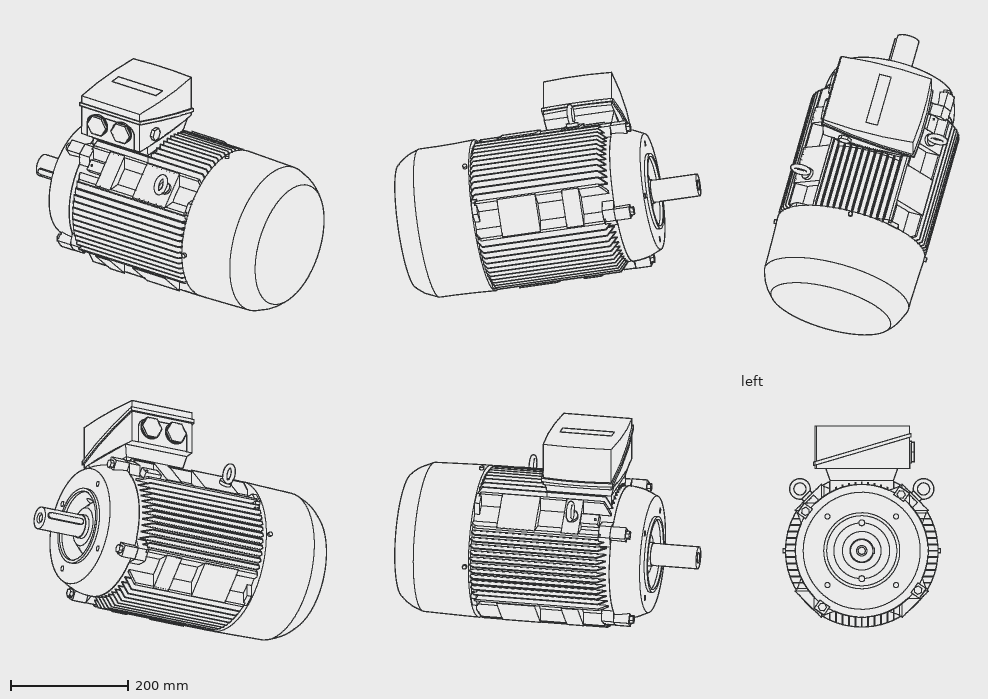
import cadquery as cq
import math


SPIGOT_X = 75.0
FLANGE_X = 80.5
FRAME_X = 130.5
COVER_X = 373.5
REAR_X = 508.0

SHAFT_R = 19.05
COLLAR_R = 20.5
COLLAR_X = 80.0
CENTRE_HOLE_R = 6.0
CENTRE_HOLE_DEPTH = 30.5
CENTRE_SINK_R = 8.9
KEY_WIDTH = 10.0
KEY_START = 5.0
KEY_END = 74.5
KEY_TOP = 22.0

FLANGE_R = 100.0
SHIELD_R = 114.0
SHIELD_MID = (104.0, 110.0)
SPIGOT_R = 65.0
RECESS_R = 60.0
GROOVE_X = 104.5
GROOVE_R = 48.0
HUB_R = 33.0
HUB_X = 86.5
DRAIN_R = 5.0
DRAIN_DEPTH = 10.0
FLANGE_HOLE_R = 4.3
FLANGE_HOLE_CIRCLE = 83.0
FLANGE_HOLE_DEPTH = 15.0

LUG_ANGLE = 35.0
LUG_CIRCLE = 117.5
LUG_SIDE = 20.5
LUG_FRONT_X = 104.0
LUG_REAR_X = 151.0
LUG_FLARE = 35.0
FRAME_LUG_TOP = 127.0
FRAME_LUG_ROOT = 104.0
REAR_LUG_X = 364.5
BOLT_HEAD_R = 7.0
BOLT_HEAD_LENGTH = 6.0

CORE_R = 113.0
FIN_R = 130.5
FIN_PITCH = 10.9
FIN_THICKNESS = 1.5
FINS_EACH_SIDE = 6
FIN_FOOT_X = 137.0
FIN_TOP_START_X = 150.0
FIN_TOP_END_X = 366.0
FIN_REAR_R = 120.5
PAD_INNER = 68.5
PAD_OUTER = 114.5
SMALL_PAD = (185.5, 215.0)
LARGE_PAD = (261.0, 327.5)
PAD_DISTANCE = (PAD_INNER + PAD_OUTER) / math.sqrt(2)
EARTH_BLOCK_X = 155.0
EARTH_BLOCK_WIDTH = 18.5
EARTH_BLOCK_DISTANCE = 125.5
EARTH_HOLE_X = 160.5
EARTH_HOLE_R = 1.5
EARTH_HOLE_DEPTH = 7.5

COVER_FRONT_R = 130.5
COVER_BEND = (470.5, 128.0)
COVER_ARC_MID = (491.0, 119.5)
COVER_REAR_R = 106.0
COVER_SCREW_X = 379.5
COVER_SCREW_R = 3.5
COVER_SCREW_TOP = 134.5

BOX_TOP = 213.5
BOX_BOTTOM = 140.0
BOX_CORNER_X = (135.0, 254.5)
BOX_BULGE = 4.0
BOX_FRONT_Y = -82.0
BOX_BACK_Y = 77.0
BOX_BACK_BULGE = 3.0
BOX_MID_X = sum(BOX_CORNER_X) / 2
SEAM_HEIGHT = 6.0
SEAM_RIM = 2.5
SEAM_FRONT_Z = 197.5
SEAM_BACK_Z = 148.5
NECK_BOTTOM = 120.5
NECK_TOP_X = (134.0, 256.5)
NECK_TOP_Y = 61.5
NECK_BOTTOM_X = (140.0, 253.0)
NECK_BOTTOM_Y = 54.5
PLUG_X = (170.5, 219.5)
PLUG_Z = 168.5
PLUG_R = 19.0
PLUG_FLANGE_HEIGHT = 3.5
PLUG_HEX_CORNERS = 38.5
PLUG_HEX_HEIGHT = 4.5
PANEL_X = (147.5, 244.0)
PANEL_TOP = 184.5
PANEL_CORNER = 18.0
PANEL_HEIGHT = 1.0
END_PLUG_Y = -42.0
END_PLUG_Z = 159.0
END_PLUG_CORNERS = 22.5
END_PLUG_HEIGHT = 8.5
LABEL_LENGTH = 90.5
LABEL_WIDTH = 20.5
LABEL_DEPTH = 0.5

EYE_DISTANCE = 149.5
EYE_RING_R = 13.95
EYE_WIRE_R = 3.8
EYE_COLLAR_R = 10.0
EYE_COLLAR_HEIGHT = 5.5
EYE_LEFT_X = 200.0
EYE_RIGHT_X = 314.0

QUARTERS = (0, 90, 180, 270)


def turned_around_x(body, angle):
    """The body turned about the shaft axis, from +Y towards +Z."""
    return body.rotate((0, 0, 0), (1, 0, 0), angle)


def block(x_range, y_range, z_range):
    """A box given by its limits on each axis."""
    (x0, x1), (y0, y1), (z0, z1) = x_range, y_range, z_range
    return cq.Workplane("XY").box(x1 - x0, y1 - y0, z1 - z0, centered=False).translate((x0, y0, z0))


def rod(x_start, x_end, radius, y=0, z=0):
    """A cylinder parallel to the shaft."""
    return cq.Workplane("YZ", origin=(x_start, y, z)).circle(radius).extrude(x_end - x_start)


def revolved_about_x(profile):
    """A closed profile, drawn as X and radius, turned about the shaft axis."""
    return profile.close().revolve(360, (0, 0, 0), (1, 0, 0))


def shield_lug():
    """A square lug with a hexagon bolt head, on the Y axis."""
    half = LUG_SIDE / 2
    lug = block((LUG_FRONT_X, FRAME_X), (LUG_CIRCLE - half, LUG_CIRCLE + half), (-half, half))
    bolt_head = (
        cq.Workplane("YZ", origin=(LUG_FRONT_X - BOLT_HEAD_LENGTH, LUG_CIRCLE, 0))
        .polygon(6, 2 * BOLT_HEAD_R)
        .extrude(BOLT_HEAD_LENGTH)
    )
    return lug.union(bolt_head)


def frame_lug(x_start, x_end):
    """A lug that flares towards its root, on the Y axis."""
    top_half = LUG_SIDE / 2
    root_half = top_half + (FRAME_LUG_TOP - FRAME_LUG_ROOT) * math.tan(math.radians(LUG_FLARE))
    return (
        cq.Workplane("YZ", origin=(x_start, 0, 0))
        .moveTo(FRAME_LUG_TOP, -top_half)
        .lineTo(FRAME_LUG_TOP, top_half)
        .lineTo(FRAME_LUG_ROOT, root_half)
        .lineTo(FRAME_LUG_ROOT, -root_half)
        .close()
        .extrude(x_end - x_start)
    )


def make_shaft():
    shaft = rod(0, FRAME_X, SHAFT_R)
    shaft = shaft.union(rod(COLLAR_X, FRAME_X, COLLAR_R))
    key = (
        cq.Workplane("XZ")
        .center((KEY_START + KEY_END) / 2, 0)
        .slot2D(KEY_END - KEY_START, KEY_WIDTH)
        .extrude(KEY_TOP)
    )
    shaft = shaft.union(key)
    shaft = shaft.cut(rod(0, CENTRE_HOLE_DEPTH, CENTRE_HOLE_R))
    sink_depth = CENTRE_SINK_R - CENTRE_HOLE_R
    sink = cq.Solid.makeCone(
        CENTRE_SINK_R, CENTRE_HOLE_R, sink_depth, cq.Vector(0, 0, 0), cq.Vector(1, 0, 0)
    )
    return shaft.cut(cq.Workplane(sink))


def make_end_shield():
    profile = (
        cq.Workplane("XY")
        .moveTo(HUB_X, COLLAR_R)
        .lineTo(HUB_X, HUB_R)
        .lineTo(GROOVE_X, GROOVE_R)
        .lineTo(FLANGE_X, RECESS_R)
        .lineTo(SPIGOT_X, RECESS_R)
        .lineTo(SPIGOT_X, SPIGOT_R)
        .lineTo(FLANGE_X, SPIGOT_R)
        .lineTo(FLANGE_X, FLANGE_R)
        .threePointArc(SHIELD_MID, (FRAME_X, SHIELD_R))
        .lineTo(FRAME_X, COLLAR_R)
    )
    shield = revolved_about_x(profile)
    for quarter in QUARTERS:
        shield = shield.union(turned_around_x(shield_lug(), LUG_ANGLE + quarter))
    hole = rod(FLANGE_X, FLANGE_X + FLANGE_HOLE_DEPTH, FLANGE_HOLE_R, y=FLANGE_HOLE_CIRCLE)
    for quarter in QUARTERS:
        shield = shield.cut(turned_around_x(hole, 45 + quarter))
    for side in (-1, 1):
        drain = rod(SPIGOT_X, GROOVE_X + DRAIN_DEPTH, DRAIN_R, z=side * GROOVE_R)
        shield = shield.cut(drain)
    return shield


def make_fins():
    """Upright fins above and below the core and level fins beside it."""
    envelope = revolved_about_x(
        cq.Workplane("XY")
        .moveTo(FIN_FOOT_X, CORE_R - 5)
        .lineTo(FIN_FOOT_X, CORE_R)
        .lineTo(FIN_TOP_START_X, FIN_R)
        .lineTo(FIN_TOP_END_X, FIN_R)
        .lineTo(COVER_X, FIN_REAR_R)
        .lineTo(COVER_X, CORE_R - 5)
    )
    half = FIN_THICKNESS / 2
    reach = (-FIN_R, FIN_R)
    outer_start = FINS_EACH_SIDE * FIN_PITCH - half
    spans = [(outer_start, PAD_INNER), (-PAD_INNER, -outer_start)]
    for number in range(1 - FINS_EACH_SIDE, FINS_EACH_SIDE):
        spans.append((number * FIN_PITCH - half, number * FIN_PITCH + half))
    fins = []
    for span in spans:
        upright = block((FIN_FOOT_X, COVER_X), span, reach)
        level = block((FIN_FOOT_X, COVER_X), reach, span)
        fins.extend(upright.intersect(envelope).solids().vals())
        fins.extend(level.intersect(envelope).solids().vals())
    return fins


def make_earth_block():
    """A terminal block with a screw hole, on the Y axis."""
    half = EARTH_BLOCK_WIDTH / 2
    earth_block = block(
        (EARTH_BLOCK_X, SMALL_PAD[0]), (CORE_R - 5, EARTH_BLOCK_DISTANCE), (-half, half)
    )
    hole = (
        cq.Workplane("XZ", origin=(EARTH_HOLE_X, EARTH_BLOCK_DISTANCE, 0))
        .circle(EARTH_HOLE_R)
        .extrude(EARTH_HOLE_DEPTH)
    )
    return earth_block.cut(hole)


def make_pad(start, end):
    """A corner pad with a 45 degree outer face."""
    corner = [(PAD_INNER, PAD_INNER), (PAD_OUTER, PAD_INNER), (PAD_INNER, PAD_OUTER)]
    return cq.Workplane("YZ", origin=(start, 0, 0)).polyline(corner).close().extrude(end - start)


def make_frame():
    core = rod(FRAME_X, COVER_X, CORE_R)
    parts = make_fins()
    for quarter in QUARTERS:
        for pad_range in (SMALL_PAD, LARGE_PAD):
            parts.append(turned_around_x(make_pad(*pad_range), quarter).val())
        front_lug = frame_lug(FRAME_X, LUG_REAR_X)
        rear_lug = frame_lug(REAR_LUG_X, COVER_X)
        parts.append(turned_around_x(front_lug, quarter + LUG_ANGLE).val())
        parts.append(turned_around_x(rear_lug, quarter - LUG_ANGLE).val())
    for angle in (45, 135):
        parts.append(turned_around_x(make_earth_block(), angle).val())
    seat_y = (-NECK_BOTTOM_Y, NECK_BOTTOM_Y)
    parts.append(block(NECK_BOTTOM_X, seat_y, (0, NECK_BOTTOM)).val())
    frame = core.union(cq.Workplane("XY").newObject(parts))
    clearance = block((FRAME_X, NECK_TOP_X[1]), (-NECK_TOP_Y, NECK_TOP_Y), (NECK_BOTTOM, BOX_TOP))
    return frame.cut(clearance)


def make_fan_cover():
    cover = revolved_about_x(
        cq.Workplane("XY")
        .moveTo(COVER_X, 0)
        .lineTo(COVER_X, COVER_FRONT_R)
        .lineTo(*COVER_BEND)
        .threePointArc(COVER_ARC_MID, (REAR_X, COVER_REAR_R))
        .lineTo(REAR_X, 0)
    )
    screw = (
        cq.Workplane("XZ", origin=(COVER_SCREW_X, COVER_SCREW_TOP, 0))
        .circle(COVER_SCREW_R)
        .extrude(COVER_SCREW_TOP - COVER_FRONT_R + 5)
    )
    for angle in (0, 90, 180):
        cover = cover.union(turned_around_x(screw, angle))
    return cover


def box_walls(rim):
    """The box's full-height block with bowed walls, made larger all round by the rim."""
    x0 = BOX_CORNER_X[0] - rim
    x1 = BOX_CORNER_X[1] + rim
    front = BOX_FRONT_Y - rim
    back = BOX_BACK_Y + rim
    middle_y = (front + back) / 2
    return (
        cq.Workplane("XY", origin=(0, 0, BOX_BOTTOM))
        .moveTo(x0, front)
        .lineTo(x1, front)
        .threePointArc((x1 + BOX_BULGE, middle_y), (x1, back))
        .threePointArc((BOX_MID_X, back + BOX_BACK_BULGE), (x0, back))
        .threePointArc((x0 - BOX_BULGE, middle_y), (x0, front))
        .close()
        .extrude(BOX_TOP - BOX_BOTTOM)
    )


def make_seam():
    """The rim of the sloping joint between box and lid."""
    front = BOX_FRONT_Y - SEAM_RIM
    back = BOX_BACK_Y + BOX_BACK_BULGE + SEAM_RIM
    half = SEAM_HEIGHT / 2
    band = (
        cq.Workplane("YZ")
        .moveTo(front, SEAM_FRONT_Z - half)
        .lineTo(front, SEAM_FRONT_Z + half)
        .lineTo(back, SEAM_BACK_Z + half)
        .lineTo(back, SEAM_BACK_Z - half)
        .close()
        .extrude(REAR_X)
    )
    return band.intersect(box_walls(SEAM_RIM))


def make_neck():
    """The tapered neck between box and frame."""
    top_length = NECK_TOP_X[1] - NECK_TOP_X[0]
    bottom_length = NECK_BOTTOM_X[1] - NECK_BOTTOM_X[0]
    shift = sum(NECK_TOP_X) / 2 - sum(NECK_BOTTOM_X) / 2
    return (
        cq.Workplane("XY", origin=(sum(NECK_BOTTOM_X) / 2, 0, NECK_BOTTOM))
        .rect(bottom_length, 2 * NECK_BOTTOM_Y)
        .workplane(offset=BOX_BOTTOM - NECK_BOTTOM)
        .center(shift, 0)
        .rect(top_length, 2 * NECK_TOP_Y)
        .loft(ruled=True)
    )


def make_terminal_box():
    box = box_walls(0).union(make_seam()).union(make_neck())
    panel = block(PANEL_X, (BOX_FRONT_Y - PANEL_HEIGHT, BOX_FRONT_Y), (BOX_BOTTOM, PANEL_TOP))
    box = box.union(panel.edges("|Y and >Z").fillet(PANEL_CORNER))
    hex_start = BOX_FRONT_Y - PLUG_FLANGE_HEIGHT
    for x in PLUG_X:
        flange = (
            cq.Workplane("XZ", origin=(x, BOX_FRONT_Y, PLUG_Z))
            .circle(PLUG_R)
            .extrude(PLUG_FLANGE_HEIGHT)
        )
        hexagon = (
            cq.Workplane("XZ", origin=(x, hex_start, PLUG_Z))
            .polygon(6, PLUG_HEX_CORNERS)
            .extrude(PLUG_HEX_HEIGHT)
        )
        box = box.union(flange).union(hexagon)
    end_wall = BOX_CORNER_X[1]
    end_plug = (
        cq.Workplane("YZ", origin=(end_wall, END_PLUG_Y, END_PLUG_Z))
        .polygon(6, END_PLUG_CORNERS)
        .extrude(END_PLUG_HEIGHT)
    )
    box = box.union(end_plug)
    label = (
        cq.Workplane("XY", origin=(BOX_MID_X, 0, BOX_TOP - LABEL_DEPTH))
        .rect(LABEL_LENGTH, LABEL_WIDTH)
        .extrude(LABEL_DEPTH)
    )
    return box.cut(label)


def make_eyebolt(x, angle):
    """A lifting eye standing on a corner pad."""
    ring = cq.Solid.makeTorus(
        EYE_RING_R, EYE_WIRE_R, cq.Vector(x, EYE_DISTANCE, 0), cq.Vector(1, 0, 0)
    )
    collar = (
        cq.Workplane("XZ", origin=(x, PAD_DISTANCE + EYE_COLLAR_HEIGHT, 0))
        .circle(EYE_COLLAR_R)
        .extrude(EYE_COLLAR_HEIGHT)
    )
    return turned_around_x(collar.union(cq.Workplane(ring)), angle)


shaft = make_shaft()
end_shield = make_end_shield()
frame = make_frame()
fan_cover = make_fan_cover()
terminal_box = make_terminal_box()
eyebolts = [make_eyebolt(x, angle) for x, angle in ((EYE_LEFT_X, 45), (EYE_RIGHT_X, 135))]

result = cq.Compound.makeCompound(
    [
        shaft.val(),
        end_shield.val(),
        frame.val(),
        fan_cover.val(),
        terminal_box.val(),
        *[eyebolt.val() for eyebolt in eyebolts],
    ]
)